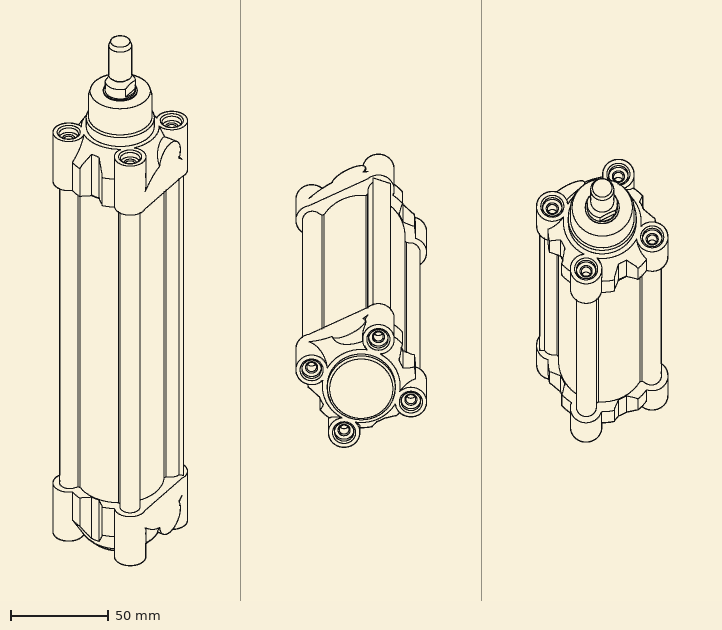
import cadquery as cq

total_length = 313.0
corner_offset = 19.0
corner_signs = [(1, 1), (-1, 1), (-1, -1), (1, -1)]

cap_height = 31.3
cap_corner_radius = 8.0
cap_core_radius = 28.0
cone_top_radius = 20.0
cone_height = 13.5
notch_floor = 23.0
notch_floor_width = 4.7
notch_lip_width = 12.2
notch_lip = 26.0
notch_mouth_width = 15.0
port_face = 27.0
port_boss_diameter = 19.0
port_boss_y = 6.0
port_boss_depth = 13.0

spigot_diameter = 35.0
spigot_height = 4.0
spigot_chamfer = 1.3
collar_base_height = 5.5
collar_base_chamfer = 1.0
collar_diameter = 33.0
collar_height = 22.5
collar_chamfer_width = 1.0
collar_chamfer_height = 3.5
wiper_diameter = 17.5
wiper_height = 0.5

barrel_length = 192.2
barrel_radius = 22.5
barrel_post_offset = 18.8
barrel_post_diameter = 10.3
web_root = (12.0, 19.0)
web_bend = (13.0, 19.5)
web_tip = (15.0, 22.2)
rail_reach = 26.3
rail_edge = 19.5
rail_neck_long = 20.7
rail_neck_short = 17.0

socket_diameter = 12.0
socket_seat_diameter = 10.0
socket_depth = 3.8
socket_chamfer = 1.0
thread_mouth_diameter = 6.3
thread_diameter = 5.0
thread_depth = 12.5

rod_diameter = 15.5
rod_across_flats = 12.8
rod_shoulder_z = 290.0
rod_shoulder_chamfer = 2.2
neck_diameter = 8.5
thread_end_diameter = 12.0
thread_start_z = 291.7
thread_tip_width = 1.0
thread_tip_height = 2.5
flat_bottom_z = 283.0

lower_cap_z = spigot_height
barrel_z = lower_cap_z + cap_height
upper_cap_z = barrel_z + barrel_length
upper_cap_top = upper_cap_z + cap_height
collar_top = upper_cap_top + collar_height


def turned(profile):
    """Solid of revolution about Z from (radius, height) points."""
    return cq.Workplane("XZ").polyline(profile).close().revolve(360, (0, 0, 0), (0, 1, 0))


def corner_columns(offset, diameter, height):
    """Four round columns on the corners of a square, standing on Z = 0."""
    return (
        cq.Workplane("XY")
        .pushPoints([(sx * offset, sy * offset) for sx, sy in corner_signs])
        .circle(diameter / 2)
        .extrude(height)
    )


def side_notch():
    """Tapered notch cut along the -Y side of a cap."""
    outside = 2 * cap_core_radius - notch_floor
    return (
        cq.Workplane("XY")
        .moveTo(-notch_floor_width / 2, -notch_floor)
        .lineTo(notch_floor_width / 2, -notch_floor)
        .lineTo(notch_lip_width / 2, -notch_lip)
        .lineTo(notch_mouth_width / 2, -cap_core_radius)
        .lineTo(notch_mouth_width / 2, -outside)
        .lineTo(-notch_mouth_width / 2, -outside)
        .lineTo(-notch_mouth_width / 2, -cap_core_radius)
        .lineTo(-notch_lip_width / 2, -notch_lip)
        .close()
        .extrude(cap_height)
    )


def shoulder_cone():
    """Cone envelope that bevels a cap toward its outer face."""
    taper = (cap_core_radius - cone_top_radius) / cone_height
    base_radius = cone_top_radius + taper * cap_height
    return turned([(0, 0), (base_radius, 0), (cone_top_radius, cap_height), (0, cap_height)])


def socket_cutter():
    """Stepped screw socket ending in a drill point, with its mouth on Z = 0."""
    r_socket = socket_diameter / 2
    r_seat = socket_seat_diameter / 2
    r_thread = thread_diameter / 2
    r_mouth = thread_mouth_diameter / 2
    profile = [
        (0, 0),
        (r_socket, 0),
        (r_seat, -socket_chamfer),
        (r_seat, -socket_depth),
        (r_mouth, -socket_depth),
        (r_thread, -socket_depth - (r_mouth - r_thread)),
        (r_thread, -thread_depth),
        (0, -thread_depth - r_thread),
    ]
    return turned(profile)


def end_cap():
    """Cap standing on Z = 0 with its outer, bevelled face at the top."""
    core = cq.Workplane("XY").circle(cap_core_radius).extrude(cap_height)
    port_block = (
        cq.Workplane("XY")
        .rect(port_face, 2 * corner_offset)
        .extrude(cap_height)
        .translate((port_face / 2, 0, 0))
    )
    beyond_port = (
        cq.Workplane("XY")
        .rect(port_face, 2 * cap_core_radius)
        .extrude(cap_height)
        .translate((1.5 * port_face, 0, 0))
    )
    core = core.union(port_block).cut(beyond_port).intersect(shoulder_cone())

    for angle in (0, -90, 180):
        core = core.cut(side_notch().rotate((0, 0, 0), (0, 0, 1), angle))

    port_boss = (
        cq.Workplane("YZ")
        .center(port_boss_y, cap_height - port_boss_depth)
        .circle(port_boss_diameter / 2)
        .extrude(port_face)
    )
    cap = core.union(port_boss).union(corner_columns(corner_offset, 2 * cap_corner_radius, cap_height))
    for sx, sy in corner_signs:
        place = (sx * corner_offset, sy * corner_offset, cap_height)
        cap = cap.cut(socket_cutter().translate(place))
    return cap


def barrel():
    """Profiled tube with four corner posts and a sensor rail on the +X +Y post."""
    body = cq.Workplane("XY").circle(barrel_radius).extrude(barrel_length)
    body = body.union(corner_columns(barrel_post_offset, barrel_post_diameter, barrel_length))
    half_web = [web_root, web_bend, web_tip]
    web = (
        cq.Workplane("XY")
        .polyline(half_web + [point[::-1] for point in reversed(half_web)])
        .close()
        .extrude(barrel_length)
    )
    for quarter in range(4):
        body = body.union(web.rotate((0, 0, 0), (0, 0, 1), 90 * quarter))
    rail = (
        cq.Workplane("XY")
        .moveTo(rail_neck_short, rail_neck_long)
        .lineTo(rail_edge, rail_reach)
        .lineTo(rail_reach, rail_edge)
        .lineTo(rail_neck_long, rail_neck_short)
        .close()
        .extrude(barrel_length)
    )
    return body.union(rail)


def front_collar():
    """Stepped collar on the upper cap, standing on Z = 0."""
    r_base = spigot_diameter / 2
    r_collar = collar_diameter / 2
    profile = [
        (0, 0),
        (r_base, 0),
        (r_base, collar_base_height),
        (r_collar, collar_base_height + collar_base_chamfer),
        (r_collar, collar_height - collar_chamfer_height),
        (r_collar - collar_chamfer_width, collar_height),
        (0, collar_height),
    ]
    return turned(profile)


def make_housing():
    """Barrel, both caps, spigot and collar as one solid, bored for the rod."""
    upper_cap = end_cap()
    lower_cap = end_cap().mirror("XY").translate((0, 0, cap_height))
    spigot = (
        cq.Workplane("XY")
        .circle(spigot_diameter / 2)
        .extrude(spigot_height)
        .faces("<Z")
        .chamfer(spigot_chamfer)
    )
    rod_bore = (
        cq.Workplane("XY")
        .workplane(offset=upper_cap_z)
        .circle(rod_diameter / 2)
        .extrude(collar_top + wiper_height - upper_cap_z)
    )
    wiper_lip = (
        cq.Workplane("XY")
        .workplane(offset=collar_top)
        .circle(wiper_diameter / 2)
        .extrude(wiper_height)
    )
    return (
        barrel()
        .translate((0, 0, barrel_z))
        .union(upper_cap.translate((0, 0, upper_cap_z)))
        .union(lower_cap.translate((0, 0, lower_cap_z)))
        .union(spigot)
        .union(front_collar().translate((0, 0, upper_cap_top)))
        .union(wiper_lip)
        .cut(rod_bore)
    )


def make_piston_rod():
    """Stepped rod with wrench flats on its +X and -X sides."""
    r_rod = rod_diameter / 2
    r_neck = neck_diameter / 2
    r_thread = thread_end_diameter / 2
    profile = [
        (0, upper_cap_z),
        (r_rod, upper_cap_z),
        (r_rod, rod_shoulder_z - rod_shoulder_chamfer),
        (r_neck, rod_shoulder_z),
        (r_neck, thread_start_z),
        (r_thread, thread_start_z),
        (r_thread, total_length - thread_tip_height),
        (r_thread - thread_tip_width, total_length),
        (0, total_length),
    ]
    rod = turned(profile)
    flat_height = rod_shoulder_z - flat_bottom_z
    for side in (1, -1):
        flat = (
            cq.Workplane("XY")
            .rect(rod_diameter, 2 * rod_diameter)
            .extrude(flat_height)
            .translate((side * (rod_across_flats + rod_diameter) / 2, 0, flat_bottom_z))
        )
        rod = rod.cut(flat)
    return rod


housing = make_housing()
piston_rod = make_piston_rod()
result = cq.Compound.makeCompound([housing.val(), piston_rod.val()])